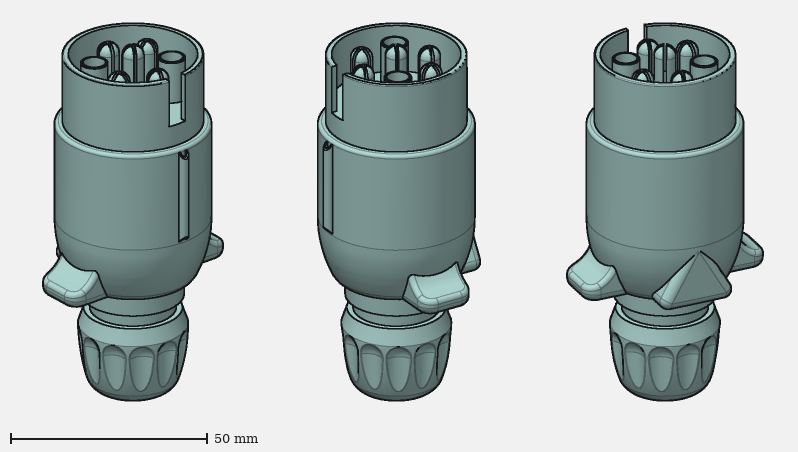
import cadquery as cq
import math

TOTAL_HEIGHT = 96.9
NUT_RIM_Z = 18.3
NUT_TOP_Z = 22.6
COLLAR_Z = 26.5
BODY_BOTTOM_Z = 31.7
DOME_TOP_Z = 48.7
BODY_TOP_Z = 75.5
SOCKET_FLOOR_Z = 81.4
SHROUD_TOP_Z = 94.4

BODY_R = 20.1
DOME_ARC_R = 34.1
BODY_TOP_FILLET = 1.0
BODY_BOTTOM_FILLET = 3.7
COLLAR_R = 13.1
NECK_R = 11.05

SHROUD_R = 18.0
SHROUD_INNER_R = 16.5
SHROUD_RIM_FILLET = 0.3
KEYWAY_WIDTH = 5.2

CONTACT_CIRCLE_R = 10.0
PIN_R = 2.8
OUTER_PIN_DROP = 3.1
PIN_SLOT_WIDTH = 0.8
PIN_SLOT_BOTTOM_Z = SOCKET_FLOOR_Z + 1.0
CENTRE_PIN_TURN = -27
OUTER_PINS = ((0, -14), (120, 13), (180, -13), (300, 13))
SLEEVE_ANGLES = (60, 240)
SLEEVE_TOP_Z = 92.9
SLEEVE_R = 3.5
SLEEVE_BORE_R = 2.9
SLEEVE_CHAMFER = 0.2
DRILL_TIP_HEIGHT = 0.8

NUT_TOP_R = 12.6
NUT_RIM_R = 14.1
NUT_SKIRT_MIDDLE = (13.4, 9.7)
NUT_SKIRT_END = (11.7, 3.1)
NUT_ROUNDING_MIDDLE = (10.2, 1.1)
NUT_BOTTOM_R = 7.8
FLUTE_COUNT = 12
FLUTE_R = 4.3
FLUTE_DEEPEST_R = 12.2
FLUTE_EDGE_FILLET = 0.3
FLUTE_BALL_Z = 14.5

TAB_WIDTH = 14.9
TAB_SPAN = 51.1
TAB_REACH = TAB_SPAN / 2
TAB_TIP_HEIGHT = 4.6
TAB_ARC_R = 8.1
TAB_ROOT_Y = 9.7
TAB_ARC_END_Y = 17.7
TAB_CORNER_R = 3.9
TAB_TOP_FILLET = 1.4
TAB_BOTTOM_FILLET = 2.4

LUG_HALF_WIDTH = 11.7
LUG_TOP_HALF_WIDTH = 1.55
LUG_TOP_Z = 49.15
LUG_DEPTH = 11.6
LUG_FILLET = 2.3

STRAP_R = 1.4
STRAP_BORE_R = 0.9
STRAP_REACH = 21.7
STRAP_BOTTOM_Z = 49.2
STRAP_TOP_Z = 74.45
STRAP_END_CHAMFER = 1.55


def cylinder(radius, bottom_z, top_z, x=0.0, y=0.0):
    return cq.Workplane("XY", origin=(x, y, bottom_z)).circle(radius).extrude(top_z - bottom_z)


def dome_radius(z):
    """Radius of the dome, an arc tangent to the cylinder above it."""
    return BODY_R - DOME_ARC_R + math.sqrt(DOME_ARC_R**2 - (DOME_TOP_Z - z) ** 2)


def make_body():
    dome_middle_z = (BODY_BOTTOM_Z + DOME_TOP_Z) / 2
    body = (
        cq.Workplane("XZ")
        .moveTo(0, BODY_BOTTOM_Z)
        .lineTo(dome_radius(BODY_BOTTOM_Z), BODY_BOTTOM_Z)
        .threePointArc((dome_radius(dome_middle_z), dome_middle_z), (BODY_R, DOME_TOP_Z))
        .lineTo(BODY_R, BODY_TOP_Z)
        .lineTo(0, BODY_TOP_Z)
        .close()
        .revolve(360, (0, 0), (0, 1))
    )
    body = body.faces(">Z").edges().fillet(BODY_TOP_FILLET)
    body = body.faces("<Z").edges().fillet(BODY_BOTTOM_FILLET)
    collar = cylinder(COLLAR_R, COLLAR_Z, BODY_BOTTOM_Z)
    neck = cylinder(NECK_R, NUT_TOP_Z, COLLAR_Z)
    return body.union(collar).union(neck)


def make_shroud():
    shroud = cylinder(SHROUD_R, BODY_TOP_Z, SHROUD_TOP_Z).faces(">Z").edges().fillet(SHROUD_RIM_FILLET)
    socket = cylinder(SHROUD_INNER_R, SOCKET_FLOOR_Z, SHROUD_TOP_Z)
    keyway = cq.Workplane("XY", origin=(0, 0, SOCKET_FLOOR_Z)).box(
        BODY_R, KEYWAY_WIDTH, SHROUD_TOP_Z - SOCKET_FLOOR_Z, centered=(False, True, False)
    )
    return shroud.cut(socket).cut(keyway)


def contact_place(angle):
    turn = math.radians(angle)
    return CONTACT_CIRCLE_R * math.cos(turn), CONTACT_CIRCLE_R * math.sin(turn)


def make_pin(x, y, top_z, slot_angle):
    """Round-nosed pin, split by crossed slots into four prongs that reach up to top_z."""
    slot_corner_r = PIN_SLOT_WIDTH / math.sqrt(2)
    nose_z = top_z - math.sqrt(PIN_R**2 - slot_corner_r**2)
    pin = cylinder(PIN_R, SOCKET_FLOOR_Z, nose_z)
    pin = pin.union(cq.Workplane("XY").sphere(PIN_R).translate((0, 0, nose_z)))
    slot = cq.Workplane("XY", origin=(0, 0, PIN_SLOT_BOTTOM_Z)).box(
        3 * PIN_R, PIN_SLOT_WIDTH, nose_z + PIN_R - PIN_SLOT_BOTTOM_Z, centered=(True, True, False)
    )
    for turn in (slot_angle, slot_angle + 90):
        pin = pin.cut(slot.rotate((0, 0, 0), (0, 0, 1), turn))
    return pin.translate((x, y, 0))


def make_sleeve(x, y):
    """Contact sleeve with a blind bore that ends in a cone."""
    sleeve = cylinder(SLEEVE_R, SOCKET_FLOOR_Z, SLEEVE_TOP_Z).faces(">Z").edges().chamfer(SLEEVE_CHAMFER)
    bore = (
        cq.Workplane("XZ")
        .moveTo(0, SOCKET_FLOOR_Z)
        .lineTo(SLEEVE_BORE_R, SOCKET_FLOOR_Z + DRILL_TIP_HEIGHT)
        .lineTo(SLEEVE_BORE_R, SLEEVE_TOP_Z)
        .lineTo(0, SLEEVE_TOP_Z)
        .close()
        .revolve(360, (0, 0), (0, 1))
    )
    return sleeve.cut(bore).translate((x, y, 0))


def make_nut():
    nut = (
        cq.Workplane("XZ")
        .lineTo(NUT_BOTTOM_R, 0)
        .threePointArc(NUT_ROUNDING_MIDDLE, NUT_SKIRT_END)
        .threePointArc(NUT_SKIRT_MIDDLE, (NUT_RIM_R, NUT_RIM_Z))
        .lineTo(NUT_TOP_R, NUT_TOP_Z)
        .lineTo(0, NUT_TOP_Z)
        .close()
        .revolve(360, (0, 0), (0, 1))
    )
    flute_x = FLUTE_DEEPEST_R + FLUTE_R
    flute = cylinder(FLUTE_R, 0, FLUTE_BALL_Z, x=flute_x)
    flute = flute.union(cq.Workplane("XY").sphere(FLUTE_R).translate((flute_x, 0, FLUTE_BALL_Z)))
    for i in range(FLUTE_COUNT):
        nut = nut.cut(flute.rotate((0, 0, 0), (0, 0, 1), i * 360 / FLUTE_COUNT))
    flute_rims = nut.edges("%BSPLINE")
    return flute_rims.fillet(FLUTE_EDGE_FILLET)


def make_tab():
    """Finger tab on the +Y side: flat below, hollowed by an arc above."""
    tip_z = BODY_BOTTOM_Z + TAB_TIP_HEIGHT

    def arc_z(y):
        """Height of the hollow, which starts level at the tip and steepens towards the body."""
        return tip_z + TAB_ARC_R - math.sqrt(TAB_ARC_R**2 - (TAB_REACH - y) ** 2)

    arc_end = (TAB_ARC_END_Y, arc_z(TAB_ARC_END_Y))
    arc_middle_y = (TAB_REACH + TAB_ARC_END_Y) / 2
    tab = (
        cq.Workplane("YZ", origin=(-TAB_WIDTH / 2, 0, 0))
        .moveTo(TAB_ROOT_Y, BODY_BOTTOM_Z)
        .lineTo(TAB_REACH, BODY_BOTTOM_Z)
        .lineTo(TAB_REACH, tip_z)
        .threePointArc((arc_middle_y, arc_z(arc_middle_y)), arc_end)
        .lineTo(TAB_ROOT_Y, arc_end[1])
        .close()
        .extrude(TAB_WIDTH)
    )
    tab = tab.faces(">Y").edges("|Z").fillet(TAB_CORNER_R)
    tab = tab.faces("<Z").edges("not(<Y)").fillet(TAB_BOTTOM_FILLET)
    return tab.faces("%CYLINDER").edges(">Y").fillet(TAB_TOP_FILLET)


def make_lug():
    """Triangular lug whose flat face touches the side of the body cylinder."""
    lug = (
        cq.Workplane("YZ", origin=(-BODY_R, 0, 0))
        .moveTo(-LUG_HALF_WIDTH, BODY_BOTTOM_Z)
        .lineTo(LUG_HALF_WIDTH, BODY_BOTTOM_Z)
        .lineTo(LUG_TOP_HALF_WIDTH, LUG_TOP_Z)
        .lineTo(-LUG_TOP_HALF_WIDTH, LUG_TOP_Z)
        .close()
        .extrude(LUG_DEPTH)
    )
    lower_corners = lug.edges("|X").edges("<Y or >Y")
    return lug.faces("<X").edges().add(lower_corners).fillet(LUG_FILLET)


def make_strap():
    """Thin half-round strap, open from end to end, with both ends bevelled."""
    buried_x = BODY_R - STRAP_R
    centre_x = STRAP_REACH - STRAP_R
    height = STRAP_TOP_Z - STRAP_BOTTOM_Z
    base = cq.Workplane("XY", origin=(0, 0, STRAP_BOTTOM_Z))

    def rail(radius):
        return (
            base.moveTo(buried_x, -radius)
            .lineTo(centre_x, -radius)
            .threePointArc((centre_x + radius, 0), (centre_x, radius))
            .lineTo(buried_x, radius)
            .close()
            .extrude(height)
        )

    bevel_x = STRAP_REACH - STRAP_END_CHAMFER
    side = (
        cq.Workplane("XZ", origin=(0, STRAP_R, 0))
        .moveTo(buried_x, STRAP_BOTTOM_Z)
        .lineTo(bevel_x, STRAP_BOTTOM_Z)
        .lineTo(STRAP_REACH, STRAP_BOTTOM_Z + STRAP_END_CHAMFER)
        .lineTo(STRAP_REACH, STRAP_TOP_Z - STRAP_END_CHAMFER)
        .lineTo(bevel_x, STRAP_TOP_Z)
        .lineTo(buried_x, STRAP_TOP_Z)
        .close()
        .extrude(2 * STRAP_R)
    )
    return rail(STRAP_R).cut(rail(STRAP_BORE_R)).intersect(side)


result = make_body()
result = result.union(make_shroud())
result = result.union(make_nut())
result = result.union(make_pin(0, 0, TOTAL_HEIGHT, CENTRE_PIN_TURN))
for angle, slot_angle in OUTER_PINS:
    result = result.union(make_pin(*contact_place(angle), TOTAL_HEIGHT - OUTER_PIN_DROP, slot_angle))
for angle in SLEEVE_ANGLES:
    result = result.union(make_sleeve(*contact_place(angle)))
tab = make_tab()
result = result.union(tab).union(tab.mirror("XZ"))
result = result.union(make_lug())
result = result.union(make_strap())